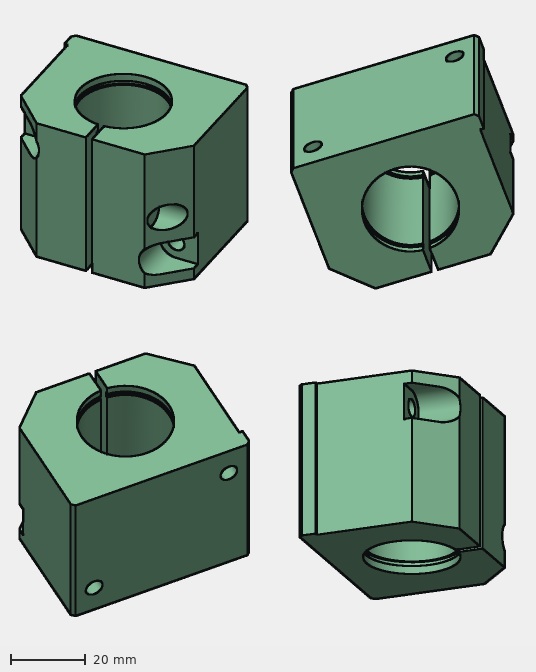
import cadquery as cq

width = 53.0
height = 43.0
half_width = width / 2
half_height = height / 2
back_y = 22.0
front_y = -20.0

front_chamfer = 9.75
back_chamfer = 1.0
lip_projection = 1.0
lip_length = 5.0

bore_diameter = 26.0
groove_diameter = 27.2
groove_width = 1.3
groove_inset = 2.25
slit_width = 1.85

mount_x = 20.0
mount_z = 13.0
mount_hole_diameter = 4.92
pocket_width = 10.0
pocket_depth = 12.0

screw_recess_diameter = 8.0
screw_y = -15.5
screw_recess_floor_x = half_width - front_chamfer


def make_block():
    """Chamfered outline with a lip on the -X side, extruded over the full height."""
    body_left = -half_width + lip_projection
    outline = [
        (-half_width + back_chamfer, back_y),
        (half_width - back_chamfer, back_y),
        (half_width, back_y - back_chamfer),
        (half_width, front_y + front_chamfer),
        (half_width - front_chamfer, front_y),
        (body_left + front_chamfer, front_y),
        (body_left, front_y + front_chamfer),
        (body_left, back_y - lip_length),
        (-half_width, back_y - lip_length),
        (-half_width, back_y - back_chamfer),
    ]
    return cq.Workplane("XY").polyline(outline).close().extrude(half_height, both=True)


def make_bore():
    """Through bore with a retaining ring groove near each end."""
    bore = cq.Workplane("XY").circle(bore_diameter / 2).extrude(half_height, both=True)
    groove = cq.Workplane("XY").circle(groove_diameter / 2).extrude(groove_width)
    upper_groove_z = half_height - groove_inset - groove_width
    lower_groove_z = -half_height + groove_inset
    for z in (lower_groove_z, upper_groove_z):
        bore = bore.union(groove.translate((0, 0, z)))
    return bore


def make_slit():
    """Full-height slit from the bore to the front face."""
    slit_length = -front_y
    return cq.Workplane("XY").box(slit_width, slit_length, height).translate((0, front_y / 2, 0))


def make_mount_cut(side):
    """Pocket and through hole on one side: -1 is upper left, +1 is lower right."""
    x = side * mount_x
    z = -side * mount_z
    side_reach = half_width - mount_x
    front_plane = cq.Workplane("XZ", origin=(0, front_y, 0))
    rounded_end = front_plane.center(x, z).circle(pocket_width / 2).extrude(-pocket_depth)
    open_end = (
        front_plane.center(x + side * side_reach / 2, z)
        .rect(side_reach, pocket_width)
        .extrude(-pocket_depth)
    )
    hole = front_plane.center(x, z).circle(mount_hole_diameter / 2).extrude(front_y - back_y)
    return rounded_end.union(open_end).union(hole)


def make_screw_recess():
    """Blind round recess that breaks out through the +X front chamfer."""
    recess_length = half_width - screw_recess_floor_x
    return (
        cq.Workplane("YZ", origin=(screw_recess_floor_x, 0, 0))
        .center(screw_y, 0)
        .circle(screw_recess_diameter / 2)
        .extrude(recess_length)
    )


result = make_block().cut(make_bore()).cut(make_slit())
for mount_side in (-1, 1):
    result = result.cut(make_mount_cut(mount_side))
result = result.cut(make_screw_recess())